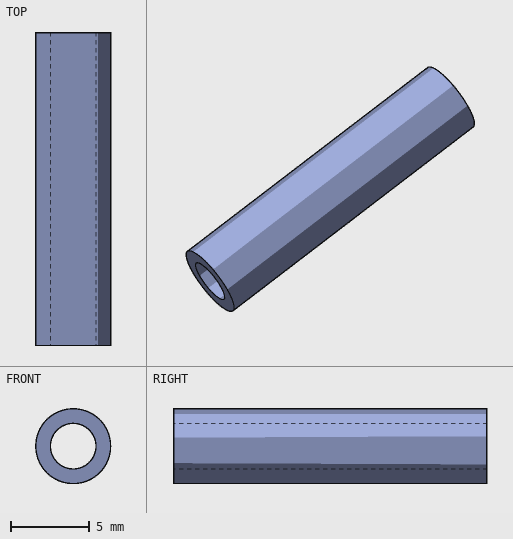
import cadquery as cq

length = 20.0
outer_diameter = 4.8
bore_diameter = 2.9

result = (
    cq.Workplane("XZ", origin=(0, length / 2, 0))
    .circle(outer_diameter / 2)
    .circle(bore_diameter / 2)
    .extrude(length)
)